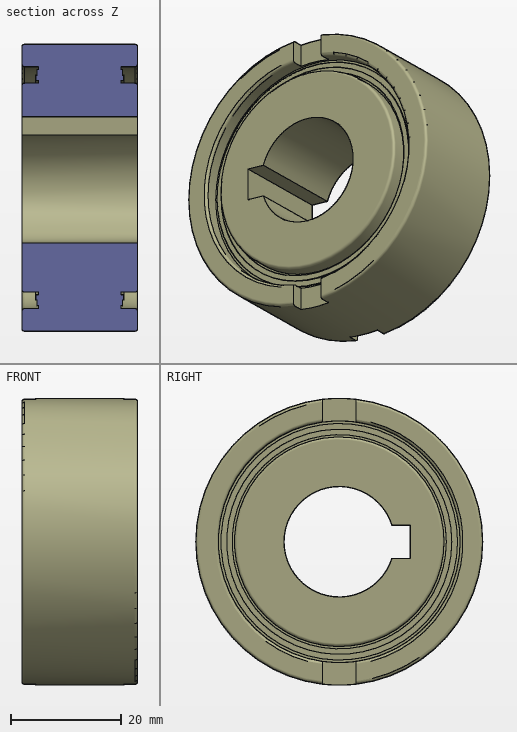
import cadquery as cq

outer_diameter = 52.0
width = 21.0
half_width = width / 2
outer_radius = outer_diameter / 2
edge_break = 0.5

outer_ring_inner_radius = 21.9
inner_ring_radius = 19.0
bore_radius = 10.0

recess_depth = 2.5
seal_step_height = 0.25
seal_outer_radius = 21.4
seal_middle_radius = 20.4
seal_inner_radius = 19.4

key_width = 6.0
key_reach = 12.85
slot_depth = 2.5


def tube(outer, inner, length):
    """Ring along X, centred on the origin."""
    return cq.Workplane("YZ").circle(outer).circle(inner).extrude(length / 2, both=True)


def outer_ring():
    ring = tube(outer_radius, outer_ring_inner_radius, width)
    return ring.faces("<X or >X").edges().fillet(edge_break)


def inner_ring():
    ring = cq.Workplane("YZ").circle(inner_ring_radius).extrude(half_width, both=True)
    ring = ring.faces("<X or >X").edges().fillet(edge_break)
    bore = cq.Workplane("YZ").circle(bore_radius).extrude(half_width, both=True)
    return ring.cut(bore)


def seal():
    """Ring filling the recess, with two shallow steps on each side."""
    full_length = width - 2 * recess_depth
    stepped_length = full_length - 2 * seal_step_height
    core = tube(outer_ring_inner_radius, inner_ring_radius, stepped_length - 2 * seal_step_height)
    step = tube(seal_outer_radius, seal_inner_radius, stepped_length)
    lip = tube(seal_middle_radius, seal_inner_radius, full_length)
    return core.union(step).union(lip)


def keyway():
    return cq.Workplane("XY").box(width, key_reach, key_width).translate((0, key_reach / 2, 0))


def driving_slots():
    """Radial slots across both end faces of the outer ring, top and bottom."""
    slots = cq.Workplane("XY")
    slot_height = outer_radius - inner_ring_radius
    for side in (-1, 1):
        for end in (-1, 1):
            slot = cq.Workplane("XY").box(slot_depth, key_width, slot_height)
            x = side * (half_width - slot_depth / 2)
            z = end * (inner_ring_radius + slot_height / 2)
            slots = slots.add(slot.translate((x, 0, z)))
    return slots.combine()


rings = outer_ring().cut(driving_slots()).union(seal()).union(inner_ring())
result = rings.cut(keyway())